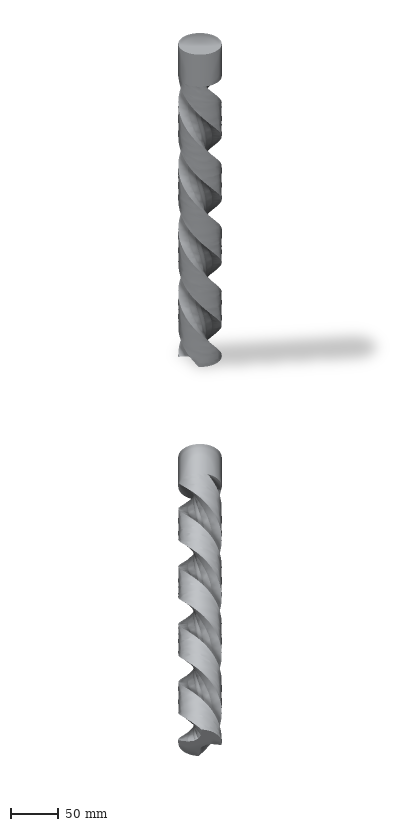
import cadquery as cq
import math

total_length = 380.7
diameter = 46.0
shank_length = 39.2
pitch = 154.0
flute_count = 2
first_flute = 87.5
flute_opening = 84.0
core_radius = 7.0
core_opening = 40.0
wall_root_radius = 13.0

outer_radius = diameter / 2
fluted_length = total_length - shank_length
twist_angle = -360.0 * fluted_length / pitch
flute_step = 360.0 / flute_count


def polar(radius, degrees):
    angle = math.radians(degrees)
    return radius * math.cos(angle), radius * math.sin(angle)


def fluted_section():
    """Cross-section at the tip: round core, sloped flute floors, radial flute walls and round lands."""
    half_opening = flute_opening / 2
    half_core = core_opening / 2
    section = cq.Workplane("XY").moveTo(*polar(outer_radius, first_flute - half_opening))
    for index in range(flute_count):
        middle = first_flute + index * flute_step
        next_middle = middle + flute_step
        section = section.lineTo(*polar(wall_root_radius, middle - half_opening))
        section = section.lineTo(*polar(core_radius, middle - half_core))
        section = section.threePointArc(
            polar(core_radius, middle), polar(core_radius, middle + half_core)
        )
        section = section.lineTo(*polar(wall_root_radius, middle + half_opening))
        section = section.lineTo(*polar(outer_radius, middle + half_opening))
        section = section.threePointArc(
            polar(outer_radius, middle + flute_step / 2),
            polar(outer_radius, next_middle - half_opening),
        )
    return section.close()


def fluted_body():
    return fluted_section().twistExtrude(fluted_length, twist_angle)


def shank():
    return cq.Workplane("XY").workplane(offset=fluted_length).circle(outer_radius).extrude(shank_length)


result = fluted_body().union(shank())